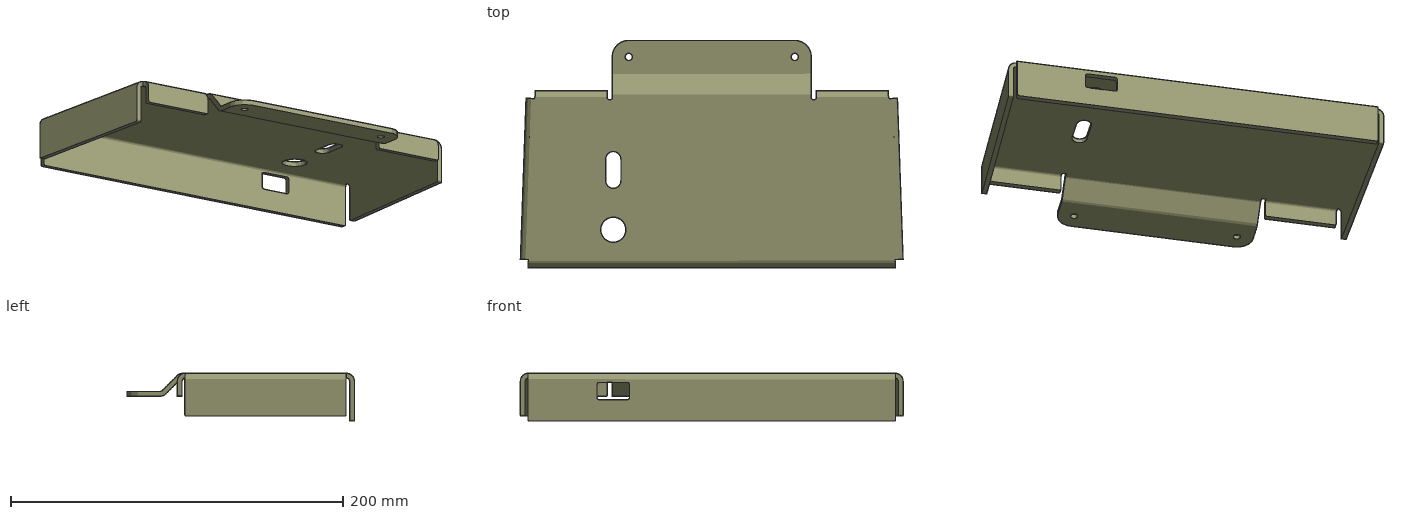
import cadquery as cq
import math

thickness = 3.0
inner_radius = 2.0
outer_radius = inner_radius + thickness

overall_width = 230.67
overall_depth = 137.08
front_drop = 28.89
side_drop = front_drop - thickness
back_drop = 14.0
side_taper = 2.0
front_overrun = 0.45
side_overrun = 0.3
back_inset = 0.6
corner_round = 1.0

plate_front = outer_radius
plate_back = 101.8
plate_depth = plate_back - plate_front
plate_half_front = overall_width / 2 - outer_radius / math.cos(math.radians(side_taper))
plate_half_back = plate_half_front - plate_depth * math.tan(math.radians(side_taper))

tab_width = 120.0
tab_corner_radius = 10.0
tab_hole_spacing = 100.0
tab_hole_diameter = 4.2
tab_hole_inset = 10.0
tab_bend_start = 103.3
ramp_angle = math.radians(45)
tab_step = back_drop - thickness
relief_width = 2.8
relief_bite = 0.5

opening_x = -59.3
round_hole_y = 23.0
round_hole_diameter = 15.0
slot_y = 59.0
slot_length = 22.0
slot_width = 9.0
window_width = 19.5
window_top = 5.5
window_bottom = 16.0
window_corner_radius = 1.5


def flange(start, end, drop, start_overrun, end_overrun):
    """Flange bent down along the X axis from start to end, facing -Y.

    The bend begins at y = 0. Across the bend each end runs outward by its overrun,
    or inward if the overrun is negative.
    """
    diagonal = math.sqrt(0.5)
    profile = (
        cq.Workplane("YZ")
        .moveTo(0, 0)
        .threePointArc(
            (-outer_radius * diagonal, -outer_radius * (1 - diagonal)),
            (-outer_radius, -outer_radius),
        )
        .lineTo(-outer_radius, -drop)
        .lineTo(-inner_radius, -drop)
        .lineTo(-inner_radius, -outer_radius)
        .threePointArc(
            (-inner_radius * diagonal, -outer_radius + inner_radius * diagonal),
            (0, -thickness),
        )
        .close()
    )
    margin = 1.0
    strip = profile.extrude(end - start + 2 * margin).translate((start - margin, 0, 0))
    plan = (
        cq.Workplane("XY")
        .polyline([
            (start, 0),
            (end, 0),
            (end + end_overrun, -inner_radius),
            (end + end_overrun, -outer_radius),
            (start - start_overrun, -outer_radius),
            (start - start_overrun, -inner_radius),
        ])
        .close()
        .extrude(-drop)
    )
    return strip.intersect(plan).faces("<Z").edges("|Y").fillet(corner_round)


def top_plate():
    return (
        cq.Workplane("XY")
        .polyline([
            (-plate_half_front, plate_front),
            (plate_half_front, plate_front),
            (plate_half_back, plate_back),
            (-plate_half_back, plate_back),
        ])
        .close()
        .extrude(-thickness)
    )


def front_flange():
    body = flange(-plate_half_front, plate_half_front, front_drop, front_overrun, front_overrun)
    return body.translate((0, plate_front, 0))


def left_flange():
    length = math.hypot(plate_depth, plate_half_front - plate_half_back)
    body = flange(0, length, side_drop, side_overrun, 0)
    turn = -90 - side_taper
    return body.rotate((0, 0, 0), (0, 0, 1), turn).translate((-plate_half_back, plate_back, 0))


def left_back_flange():
    inner_end = tab_width / 2 + relief_width
    body = flange(inner_end, plate_half_back, back_drop, 0, -back_inset)
    return body.rotate((0, 0, 0), (0, 0, 1), 180).translate((0, plate_back, 0))


def mounting_tab():
    """Flat lead-in, sloping ramp and flat tab, with rounded outer corners and two holes."""
    sine = math.sin(ramp_angle)
    cosine = math.cos(ramp_angle)
    half_sine = math.sin(ramp_angle / 2)
    half_cosine = math.cos(ramp_angle / 2)
    radius_sum = outer_radius + inner_radius
    ramp_fall = tab_step - radius_sum * (1 - cosine)
    ramp_run = ramp_fall / math.tan(ramp_angle)
    upper_center_y = tab_bend_start
    upper_center_z = -outer_radius
    lower_center_y = tab_bend_start + radius_sum * sine + ramp_run
    lower_center_z = -tab_step + inner_radius

    def upper(radius, across, up):
        return (upper_center_y + radius * across, upper_center_z + radius * up)

    def lower(radius, across, down):
        return (lower_center_y - radius * across, lower_center_z - radius * down)

    body = (
        cq.Workplane("YZ")
        .moveTo(plate_back, 0)
        .lineTo(*upper(outer_radius, 0, 1))
        .threePointArc(upper(outer_radius, half_sine, half_cosine), upper(outer_radius, sine, cosine))
        .lineTo(*lower(inner_radius, sine, cosine))
        .threePointArc(lower(inner_radius, half_sine, half_cosine), lower(inner_radius, 0, 1))
        .lineTo(overall_depth, -tab_step)
        .lineTo(overall_depth, -back_drop)
        .lineTo(*lower(outer_radius, 0, 1))
        .threePointArc(lower(outer_radius, half_sine, half_cosine), lower(outer_radius, sine, cosine))
        .lineTo(*upper(inner_radius, sine, cosine))
        .threePointArc(upper(inner_radius, half_sine, half_cosine), upper(inner_radius, 0, 1))
        .lineTo(plate_back, -thickness)
        .close()
        .extrude(tab_width / 2, both=True)
        .faces(">Y").edges("|Z").fillet(tab_corner_radius)
    )
    hole_y = overall_depth - tab_hole_inset
    holes = (
        cq.Workplane("XY")
        .pushPoints([(-tab_hole_spacing / 2, hole_y), (tab_hole_spacing / 2, hole_y)])
        .circle(tab_hole_diameter / 2)
        .extrude(-front_drop)
    )
    return body.cut(holes)


def top_openings():
    round_hole = (
        cq.Workplane("XY")
        .center(opening_x, round_hole_y)
        .circle(round_hole_diameter / 2)
        .extrude(-thickness)
    )
    slot = (
        cq.Workplane("XY")
        .center(opening_x, slot_y)
        .slot2D(slot_length, slot_width, 90)
        .extrude(-thickness)
    )
    return round_hole.union(slot)


def relief_ends():
    """Round ends of the gaps beside the tab."""
    relief_x = (tab_width + relief_width) / 2
    relief_radius = relief_width / 2
    return (
        cq.Workplane("XY")
        .pushPoints([(side * relief_x, plate_back + relief_radius - relief_bite) for side in (-1, 1)])
        .circle(relief_radius)
        .extrude(-thickness)
    )


def front_window():
    height = window_bottom - window_top
    return (
        cq.Workplane("XY")
        .box(window_width, thickness, height)
        .edges("|Y").fillet(window_corner_radius)
        .translate((opening_x, thickness / 2, -(window_top + window_bottom) / 2))
    )


result = top_plate().union(front_flange()).union(mounting_tab())
for left_part in (left_flange(), left_back_flange()):
    result = result.union(left_part).union(left_part.mirror("YZ"))
result = result.cut(top_openings()).cut(relief_ends()).cut(front_window())